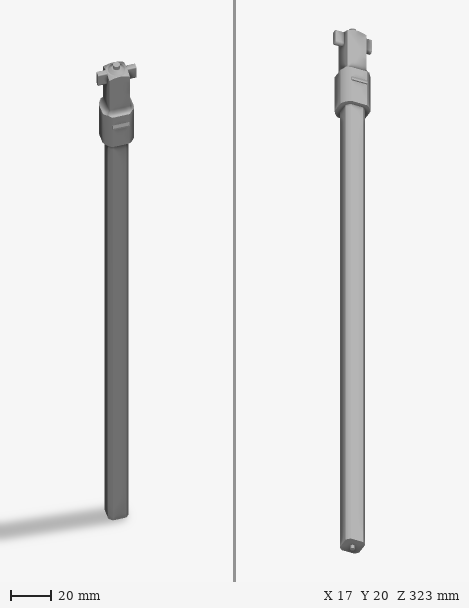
import cadquery as cq
import math

total_height = 323.0
bar_bottom = 2.0
collar_bottom = 272.5
flare_top = 296.8
head_top = 319.5
cone_top = 320.7

bar_width = 10.5
bar_corner_diameter = 12.5
stub_diameter = 2.3

collar_width_x = 15.5
collar_width_y = 16.5
collar_corner_diameter = 17.8
flare_radius = 3.2

ridge_width_x = 17.0
ridge_bottom = 285.5
ridge_shoulder = 286.5
ridge_top = 288.0

bevel_diameter = 10.3
bevel_angle = 30.0
cone_bottom_diameter = 8.5
cone_top_diameter = 5.0
tip_diameter = 3.5

lug_span = 20.0
lug_width = 3.2
lug_bottom = 311.5
lug_top = 319.5
lug_edge_radius = 0.5


def cylinder_between(diameter, bottom, top):
    """Upright cylinder on the Z axis."""
    return cq.Workplane("XY", origin=(0, 0, bottom)).circle(diameter / 2).extrude(top - bottom)


def block_between(width_x, width_y, bottom, top):
    """Upright block centred on the Z axis."""
    return cq.Workplane("XY", origin=(0, 0, bottom)).rect(width_x, width_y).extrude(top - bottom)


def make_bar():
    """Square bar with turned corners, ending against the underside of the collar."""
    block = block_between(bar_width, bar_width, bar_bottom, collar_bottom)
    envelope = cylinder_between(bar_corner_diameter, bar_bottom, collar_bottom)
    stub = cylinder_between(stub_diameter, 0, bar_bottom)
    return block.intersect(envelope).union(stub)


def flared_prism(plane, width):
    """Prism with two opposite sides that curve in at the top to the width of the head."""
    inner = bar_width / 2
    outer = width / 2
    sweep = math.acos(1 - (outer - inner) / flare_radius)
    arc_middle_x = inner + flare_radius * (1 - math.cos(sweep / 2))
    arc_middle_z = flare_top - flare_radius * math.sin(sweep / 2)
    arc_end_z = flare_top - flare_radius * math.sin(sweep)
    return (
        cq.Workplane(plane)
        .moveTo(-inner, flare_top)
        .lineTo(inner, flare_top)
        .threePointArc((arc_middle_x, arc_middle_z), (outer, arc_end_z))
        .lineTo(outer, collar_bottom)
        .lineTo(-outer, collar_bottom)
        .lineTo(-outer, arc_end_z)
        .threePointArc((-arc_middle_x, arc_middle_z), (-inner, flare_top))
        .close()
        .extrude(collar_corner_diameter / 2, both=True)
    )


def make_collar():
    """Flared on all four sides, the flares meeting in mitres below the corners of the head."""
    outline = cylinder_between(collar_corner_diameter, collar_bottom, flare_top)
    sides_x = flared_prism("XZ", collar_width_x)
    sides_y = flared_prism("YZ", collar_width_y)
    return sides_x.intersect(sides_y).intersect(outline)


def make_ridges():
    """Snap ridges on the two X faces of the collar: ramped above, square below."""
    base = collar_width_x / 2
    crest = ridge_width_x / 2
    length = math.sqrt(collar_corner_diameter**2 - collar_width_x**2)
    return (
        cq.Workplane("XZ")
        .moveTo(-crest, ridge_bottom)
        .lineTo(crest, ridge_bottom)
        .lineTo(crest, ridge_shoulder)
        .lineTo(base, ridge_top)
        .lineTo(-base, ridge_top)
        .lineTo(-crest, ridge_shoulder)
        .close()
        .extrude(length / 2, both=True)
    )


def make_head():
    """Square head with bevelled upper corners."""
    block = block_between(bar_width, bar_width, flare_top, head_top)
    top_radius = bevel_diameter / 2
    base_radius = bar_width
    drop = (base_radius - top_radius) * math.tan(math.radians(bevel_angle))
    envelope = (
        cq.Workplane("XZ")
        .moveTo(0, flare_top)
        .lineTo(base_radius, flare_top)
        .lineTo(base_radius, head_top - drop)
        .lineTo(top_radius, head_top)
        .lineTo(0, head_top)
        .close()
        .revolve(360, (0, 0), (0, 1))
    )
    return block.intersect(envelope)


def make_tip():
    """Cone on the head that carries a small upright pin."""
    cone = (
        cq.Workplane("XY", origin=(0, 0, head_top))
        .circle(cone_bottom_diameter / 2)
        .workplane(offset=cone_top - head_top)
        .circle(cone_top_diameter / 2)
        .loft()
    )
    return cone.union(cylinder_between(tip_diameter, cone_top, total_height))


def make_connector():
    """One body: collar with its ridges, head and tip."""
    return make_collar().union(make_ridges()).union(make_head()).union(make_tip())


def make_lug(side):
    """Lug on one Y face of the head; side is -1 or 1."""
    face = bar_width / 2
    half_width = lug_width / 2
    return (
        cq.Workplane("XZ", origin=(0, side * face, 0))
        .moveTo(-half_width, lug_top)
        .lineTo(-half_width, lug_bottom + half_width)
        .threePointArc((0, lug_bottom), (half_width, lug_bottom + half_width))
        .lineTo(half_width, lug_top)
        .close()
        .extrude(-side * (lug_span / 2 - face))
        .faces(">Z")
        .edges("|Y")
        .fillet(lug_edge_radius)
    )


bar = make_bar()
connector = make_connector()
lugs = [make_lug(side) for side in (-1, 1)]

result = cq.Compound.makeCompound([bar.val(), connector.val(), *[lug.val() for lug in lugs]])